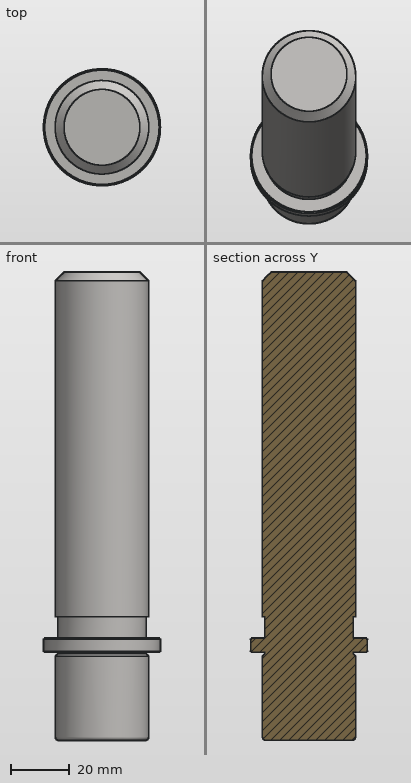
import cadquery as cq

total_length = 160.0
shaft_diameter = 32.0
flange_diameter = 40.0
neck_diameter = 30.4

fit_height = 29.6
flange_bottom = 30.0
flange_thickness = 5.0
neck_length = 7.2

tip_chamfer = 3.0
fit_fillet = 1.3
fit_top_chamfer = 0.8
flange_chamfer = 0.5

flange_top = flange_bottom + flange_thickness
shaft_bottom = flange_top + neck_length


def cylinder(diameter, bottom, top):
    """Upright cylinder on the Z axis between two heights."""
    return cq.Workplane("XY").workplane(offset=bottom).circle(diameter / 2).extrude(top - bottom)


fit = cylinder(shaft_diameter, 0, fit_height)
fit = fit.faces("<Z").fillet(fit_fillet)
fit = fit.faces(">Z").chamfer(fit_top_chamfer)

neck = cylinder(neck_diameter, fit_height, shaft_bottom)

flange = cylinder(flange_diameter, flange_bottom, flange_top)
flange = flange.faces("<Z or >Z").chamfer(flange_chamfer)

shaft = cylinder(shaft_diameter, shaft_bottom, total_length)
shaft = shaft.faces(">Z").chamfer(tip_chamfer)

result = fit.union(neck).union(flange).union(shaft)